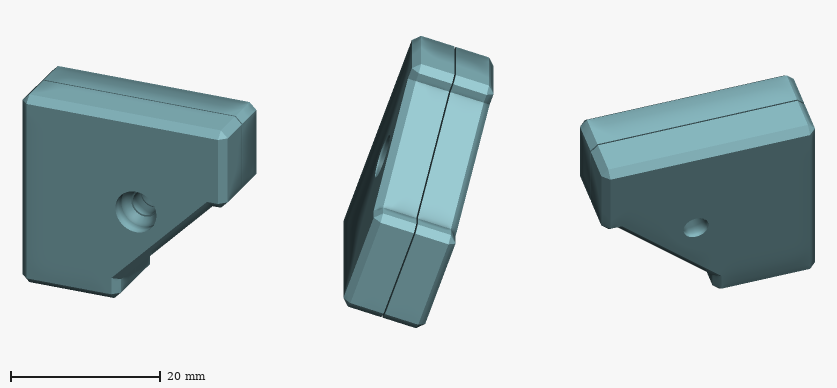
import cadquery as cq

LENGTH = 30.0
THICKNESS = 11.6
HEIGHT = 27.9
PARTING_GAP = 0.2
HALF_THICKNESS = (THICKNESS - PARTING_GAP) / 2
FRONT_Y = -THICKNESS / 2

CHAMFER = 1.0
FOOT_LENGTH = 14.4
FOOT_STEP = 3.0
ARM_HEIGHT = 11.5
ARM_UNDERSIDE = HEIGHT - ARM_HEIGHT
SLOPE_END_X = FOOT_LENGTH + ARM_UNDERSIDE - FOOT_STEP

HOLE_X = 17.0
HOLE_Z = 13.92
HOLE_DIAMETER = 3.5
SEAT_DIAMETER = 4.0
SINK_DIAMETER = 6.0
HEAD_DEPTH = 2.0
SINK_DEPTH = (SINK_DIAMETER - SEAT_DIAMETER) / 2


def corner_block():
    """Solid block of full thickness, centred on Y = 0, with chamfered outside edges."""
    outline = [
        (0, 0),
        (FOOT_LENGTH, 0),
        (FOOT_LENGTH, FOOT_STEP),
        (SLOPE_END_X, ARM_UNDERSIDE),
        (LENGTH, ARM_UNDERSIDE),
        (LENGTH, HEIGHT),
        (0, HEIGHT),
    ]
    block = cq.Workplane("XZ").polyline(outline).close().extrude(THICKNESS / 2, both=True)
    outside_corners = [
        (0, 0), (FOOT_LENGTH, 0), (LENGTH, ARM_UNDERSIDE), (LENGTH, HEIGHT), (0, HEIGHT),
    ]
    corner_edges = [
        block.edges(cq.selectors.NearestToPointSelector((x, 0, z))).val()
        for x, z in outside_corners
    ]
    face_edges = block.faces("<Y or >Y").edges()
    return block.newObject(corner_edges + face_edges.vals()).chamfer(CHAMFER)


def half_shell(front):
    """Part of the block on one side of the parting gap."""
    side = cq.Workplane("XY").box(LENGTH, HALF_THICKNESS, HEIGHT, centered=(False, True, False))
    offset_y = (PARTING_GAP + HALF_THICKNESS) / 2
    return corner_block().intersect(side.translate((0, -offset_y if front else offset_y, 0)))


def hole_cutter(diameter, start_y, depth):
    """Cylinder at the screw position, running towards +Y from start_y."""
    return cq.Workplane("XY").newObject([
        cq.Solid.makeCylinder(diameter / 2, depth, cq.Vector(HOLE_X, start_y, HOLE_Z), cq.Vector(0, 1, 0))
    ])


def sink_cutter():
    """Cone that narrows from the screw head recess to the flat seat around the hole."""
    return cq.Workplane("XY").newObject([
        cq.Solid.makeCone(
            SINK_DIAMETER / 2, SEAT_DIAMETER / 2, SINK_DEPTH,
            cq.Vector(HOLE_X, FRONT_Y + HEAD_DEPTH, HOLE_Z), cq.Vector(0, 1, 0),
        )
    ])


front_half = (
    half_shell(front=True)
    .cut(hole_cutter(HOLE_DIAMETER, FRONT_Y, THICKNESS))
    .cut(hole_cutter(SINK_DIAMETER, FRONT_Y, HEAD_DEPTH))
    .cut(sink_cutter())
)

rear_half = half_shell(front=False).cut(hole_cutter(HOLE_DIAMETER, FRONT_Y, THICKNESS))

result = cq.Compound.makeCompound([front_half.val(), rear_half.val()])